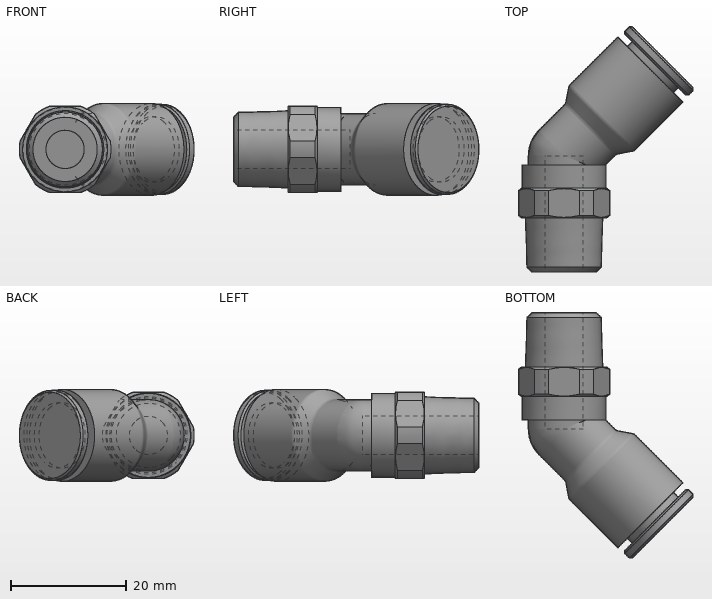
import cadquery as cq
import math

BEND_ANGLE = 45

THREAD_LENGTH = 9.43
THREAD_END_RADIUS = 6.5
THREAD_GAUGE_LENGTH = 4.6
THREAD_GAUGE_RADIUS = 6.55
THREAD_ROOT_RADIUS = 6.75
LEAD_CHAMFER_LENGTH = 0.85
LEAD_CHAMFER_RADIUS = 5.6
BORE_RADIUS = 3.33

HEX_LENGTH = 5.15
HEX_ACROSS_FLATS = 15.0
HEX_CORNER_RADIUS = 7.98
HEX_END_RADIUS = 7.38
HEX_CHAMFER_LENGTH = 0.43
COLLAR_LENGTH = 4.05
COLLAR_RADIUS = 7.3

ELBOW_RADIUS = 6.23
ELBOW_STANDOFF = 1.58

CONE_START = 6.55
BODY_START = 9.15
BODY_END = 21.2
BODY_DIAMETER = 16.0
BODY_RADIUS = BODY_DIAMETER / 2
SHOULDER_FILLET = 0.85
NECK_RADIUS = 5.67
CAP_START = 22.4
CAP_END = 24.23
CAP_RADIUS = 7.85
CAP_CHAMFER = 0.35

hex_end = THREAD_LENGTH + HEX_LENGTH
collar_end = hex_end + COLLAR_LENGTH
bend_y = collar_end + ELBOW_STANDOFF


def revolve_about_y(profile_points):
    """Revolve a closed (radius, y) outline about the Y axis."""
    return cq.Workplane("XY").polyline(profile_points).close().revolve(360, (0, 0), (0, 1))


def cylinder_along_y(radius, start, end):
    return revolve_about_y([(0, start), (radius, start), (radius, end), (0, end)])


def make_thread():
    return revolve_about_y([
        (0, 0),
        (LEAD_CHAMFER_RADIUS, 0),
        (THREAD_END_RADIUS, LEAD_CHAMFER_LENGTH),
        (THREAD_GAUGE_RADIUS, THREAD_GAUGE_LENGTH),
        (THREAD_ROOT_RADIUS, THREAD_LENGTH),
        (0, THREAD_LENGTH),
    ])


def make_hex():
    """Hexagon with two flats facing +Z and -Z, its corners turned round and bevelled."""
    across_corners = HEX_ACROSS_FLATS / math.cos(math.pi / 6)
    prism = (
        cq.Workplane("XZ", origin=(0, THREAD_LENGTH, 0))
        .polygon(6, across_corners)
        .extrude(-HEX_LENGTH)
    )
    envelope = revolve_about_y([
        (0, THREAD_LENGTH),
        (HEX_END_RADIUS, THREAD_LENGTH),
        (HEX_CORNER_RADIUS, THREAD_LENGTH + HEX_CHAMFER_LENGTH),
        (HEX_CORNER_RADIUS, hex_end - HEX_CHAMFER_LENGTH),
        (HEX_END_RADIUS, hex_end),
        (0, hex_end),
    ])
    return prism.intersect(envelope)


def make_elbow_back():
    """Spherical wedge filling the outer side of the bend between the two stems."""
    half_disc = (
        cq.Workplane("XZ")
        .moveTo(0, -ELBOW_RADIUS)
        .threePointArc((-ELBOW_RADIUS, 0), (0, ELBOW_RADIUS))
        .close()
    )
    wedge = half_disc.revolve(BEND_ANGLE, (0, 0), (0, -1))
    return wedge.translate((0, bend_y, 0))


def make_tube_leg():
    """Stem, conical shoulder, body, neck and release cap, turned about the tilted axis."""
    body = revolve_about_y([
        (0, 0),
        (ELBOW_RADIUS, 0),
        (ELBOW_RADIUS, CONE_START),
        (BODY_RADIUS, BODY_START),
        (BODY_RADIUS, BODY_END),
        (0, BODY_END),
    ])
    shoulder_edges = cq.selectors.BoxSelector(
        (-2 * BODY_RADIUS, CONE_START - SHOULDER_FILLET, -2 * BODY_RADIUS),
        (2 * BODY_RADIUS, BODY_START + SHOULDER_FILLET, 2 * BODY_RADIUS),
        boundingbox=True,
    )
    body = body.edges("%CIRCLE").edges(shoulder_edges).fillet(SHOULDER_FILLET)
    neck = cylinder_along_y(NECK_RADIUS, BODY_END, CAP_START)
    cap = cylinder_along_y(CAP_RADIUS, CAP_START, CAP_END).faces(">Y or <Y").chamfer(CAP_CHAMFER)
    leg = body.union(neck).union(cap)
    return leg.rotate((0, 0, 0), (0, 0, 1), -BEND_ANGLE).translate((0, bend_y, 0))


collar = cylinder_along_y(COLLAR_RADIUS, hex_end, collar_end)
elbow_stem = cylinder_along_y(ELBOW_RADIUS, collar_end, bend_y)
bore = cylinder_along_y(BORE_RADIUS, 0, bend_y)

result = (
    make_thread()
    .union(make_hex())
    .union(collar)
    .union(elbow_stem)
    .union(make_elbow_back())
    .union(make_tube_leg())
    .cut(bore)
)